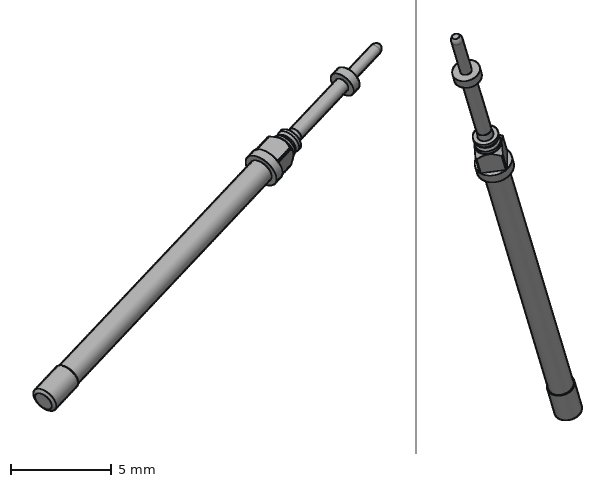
import cadquery as cq

TOTAL_LENGTH = 28.5

CAP_DIAMETER = 1.42
CAP_LENGTH = 2.0
CAP_BEVEL_LENGTH = 0.1
CAP_BEVEL_DEPTH = 0.2

BARREL_DIAMETER = 1.3
FLANGE_DIAMETER = 1.9
FLANGE_LENGTH = 0.5
FLANGE_TOP = 19.0

SQUARE_WIDTH = 1.4
SQUARE_CORNER_DIAMETER = 1.88
SQUARE_LENGTH = 1.3
SQUARE_BEVEL = 0.25

RING_DIAMETER = 1.3
RING_LENGTH = 0.68
GROOVE_WIDTH = 0.35
GROOVE_DEPTH = 0.09

NECK_START_DIAMETER = 0.83
NECK_END_DIAMETER = 0.75
SHAFT_DIAMETER = 0.77
SHAFT_START = 21.4
COLLAR_DIAMETER = 1.42
COLLAR_LENGTH = 0.5
COLLAR_START = 25.4

TIP_DIAMETER = 0.6
TIP_ROUND_LENGTH = 0.28
TIP_ROUND_DEPTH = 0.1

BARREL_START = CAP_LENGTH
FLANGE_START = FLANGE_TOP - FLANGE_LENGTH
SQUARE_TOP = FLANGE_TOP + SQUARE_LENGTH
GROOVE_CENTER = SQUARE_TOP + RING_LENGTH / 2
NECK_START = SQUARE_TOP + RING_LENGTH
COLLAR_TOP = COLLAR_START + COLLAR_LENGTH


def cylinder(diameter, start, end):
    """Round bar on the Y axis between two stations."""
    return cone(diameter, diameter, start, end)


def cone(start_diameter, end_diameter, start, end):
    """Bar turned about the Y axis, tapering evenly between two stations."""
    half_profile = [(0, start), (start_diameter / 2, start), (end_diameter / 2, end), (0, end)]
    return cq.Workplane("XY").polyline(half_profile).close().revolve(360, (0, 0, 0), (0, 1, 0))


def end_cap():
    bevel = cone(CAP_DIAMETER - 2 * CAP_BEVEL_DEPTH, CAP_DIAMETER, 0, CAP_BEVEL_LENGTH)
    return bevel.union(cylinder(CAP_DIAMETER, CAP_BEVEL_LENGTH, CAP_LENGTH))


def square_section():
    """Square bar whose corners are turned round and bevelled at the tip side."""
    block = cq.Workplane("XY").box(SQUARE_WIDTH, SQUARE_LENGTH, SQUARE_WIDTH)
    block = block.translate((0, FLANGE_TOP + SQUARE_LENGTH / 2, 0))
    bevel_start = SQUARE_TOP - SQUARE_BEVEL
    bevel_end_diameter = SQUARE_CORNER_DIAMETER - 2 * SQUARE_BEVEL
    turned = cylinder(SQUARE_CORNER_DIAMETER, FLANGE_TOP, bevel_start)
    turned = turned.union(cone(SQUARE_CORNER_DIAMETER, bevel_end_diameter, bevel_start, SQUARE_TOP))
    return block.intersect(turned)


def grooved_ring():
    """Ring with a V groove, made of plain ends and two cones meeting at the groove bottom."""
    groove_bottom_diameter = RING_DIAMETER - 2 * GROOVE_DEPTH
    groove_start = GROOVE_CENTER - GROOVE_WIDTH / 2
    groove_end = GROOVE_CENTER + GROOVE_WIDTH / 2
    return (
        cylinder(RING_DIAMETER, SQUARE_TOP, groove_start)
        .union(cone(RING_DIAMETER, groove_bottom_diameter, groove_start, GROOVE_CENTER))
        .union(cone(groove_bottom_diameter, RING_DIAMETER, GROOVE_CENTER, groove_end))
        .union(cylinder(RING_DIAMETER, groove_end, NECK_START))
    )


def plunger_tip():
    """Slim pin with a rounded edge that flows from its side into a flat end face."""
    radius = TIP_DIAMETER / 2
    return (
        cq.Workplane("XY")
        .moveTo(0, COLLAR_TOP)
        .lineTo(radius, COLLAR_TOP)
        .lineTo(radius, TOTAL_LENGTH - TIP_ROUND_LENGTH)
        .tangentArcPoint((radius - TIP_ROUND_DEPTH, TOTAL_LENGTH), relative=False)
        .lineTo(0, TOTAL_LENGTH)
        .close()
        .revolve(360, (0, 0, 0), (0, 1, 0))
    )


result = (
    end_cap()
    .union(cylinder(BARREL_DIAMETER, BARREL_START, FLANGE_START))
    .union(cylinder(FLANGE_DIAMETER, FLANGE_START, FLANGE_TOP))
    .union(square_section())
    .union(grooved_ring())
    .union(cone(NECK_START_DIAMETER, NECK_END_DIAMETER, NECK_START, SHAFT_START))
    .union(cylinder(SHAFT_DIAMETER, SHAFT_START, COLLAR_START))
    .union(cylinder(COLLAR_DIAMETER, COLLAR_START, COLLAR_TOP))
    .union(plunger_tip())
)